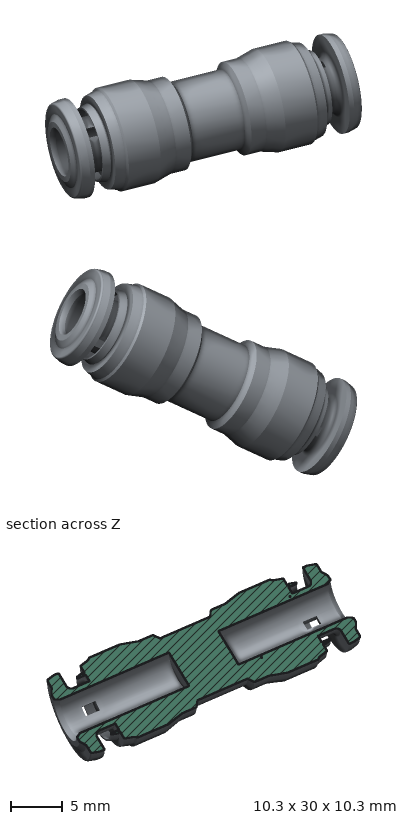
import cadquery as cq
overall_length = 30.0
half_length = overall_length / 2

nose_end_radius = 3.0
nose_base_radius = 3.67
nose_length = 0.38
flange_face_radius = 4.55
flange_fillet_radius = 0.2
flange_edge_radius = flange_face_radius + flange_fillet_radius
flange_edge_depth = nose_length + flange_fillet_radius
flange_radius = 4.93
flange_taper_depth = 1.28
flange_back_depth = 1.78
neck_radius = 2.75
neck_fillet_radius = 0.5

ring_front_depth = 3.09
ring_rear_depth = 3.84
ring_front_radius = 3.7
ring_rear_radius = 3.9
ring_bore_radius = 3.5
undercut_radius = 3.75

body_front_depth = 3.99
body_front_radius = 4.67
body_taper_depth = 5.0
body_taper_radius = 4.95
barrel_radius = 5.15
barrel_front_depth = 5.2
barrel_rear_depth = 8.52
shoulder_radius = 4.65
shoulder_front_depth = 10.3
shoulder_rear_depth = 11.87
waist_radius = 4.0
waist_depth = 12.3

port_radius = 2.12
port_mouth_radius = 2.42
port_chamfer_depth = 0.5
port_depth = waist_depth

slot_width = 1.0
slot_front_depth = 2.48
front_slot_angle = 25.5
rear_slot_angle = 0.0


def make_half_body():
    """Outer shape of the half on the -Y side, revolved about Y."""
    end = -half_length
    profile = (
        cq.Workplane("XY")
        .moveTo(0, end)
        .lineTo(nose_end_radius, end)
        .lineTo(nose_base_radius, end + nose_length)
        .lineTo(flange_face_radius, end + nose_length)
        .radiusArc((flange_edge_radius, end + flange_edge_depth), -flange_fillet_radius)
        .lineTo(flange_radius, end + flange_taper_depth)
        .lineTo(flange_radius, end + flange_back_depth)
        .lineTo(neck_radius + neck_fillet_radius, end + flange_back_depth)
        .radiusArc((neck_radius, end + flange_back_depth + neck_fillet_radius), neck_fillet_radius)
        .lineTo(neck_radius, end + body_front_depth)
        .lineTo(ring_bore_radius, end + body_front_depth)
        .lineTo(ring_bore_radius, end + ring_front_depth)
        .lineTo(ring_front_radius, end + ring_front_depth)
        .lineTo(ring_rear_radius, end + ring_rear_depth)
        .lineTo(undercut_radius, end + ring_rear_depth)
        .lineTo(undercut_radius, end + body_front_depth)
        .lineTo(body_front_radius, end + body_front_depth)
        .lineTo(body_taper_radius, end + body_taper_depth)
        .lineTo(barrel_radius, end + barrel_front_depth)
        .lineTo(barrel_radius, end + barrel_rear_depth)
        .lineTo(shoulder_radius, end + shoulder_front_depth)
        .lineTo(shoulder_radius, end + shoulder_rear_depth)
        .lineTo(waist_radius, end + waist_depth)
        .lineTo(waist_radius, 0)
        .lineTo(0, 0)
        .close()
    )
    return profile.revolve(360, (0, 0, 0), (0, 1, 0))


def make_port():
    """Blind tube port with a chamfered mouth, entering from -Y."""
    end = -half_length
    profile = (
        cq.Workplane("XY")
        .moveTo(0, end)
        .lineTo(port_mouth_radius, end)
        .lineTo(port_radius, end + port_chamfer_depth)
        .lineTo(port_radius, end + port_depth)
        .lineTo(0, end + port_depth)
        .close()
    )
    return profile.revolve(360, (0, 0, 0), (0, 1, 0))


def make_slot(angle):
    """Slot through both neck walls, turned about Y away from the Z direction."""
    slot_length = body_front_depth - slot_front_depth
    slot_height = neck_radius + ring_bore_radius
    slot = (
        cq.Workplane("XY")
        .box(slot_width, slot_length, slot_height, centered=(True, False, True))
        .translate((0, slot_front_depth - half_length, 0))
    )
    return slot.rotate((0, 0, 0), (0, 1, 0), angle)


def make_half(slot_angle):
    """One complete half on the -Y side."""
    return make_half_body().cut(make_port()).cut(make_slot(slot_angle))


front_half = make_half(front_slot_angle)
rear_half = make_half(rear_slot_angle).mirror("XZ")
result = front_half.union(rear_half)